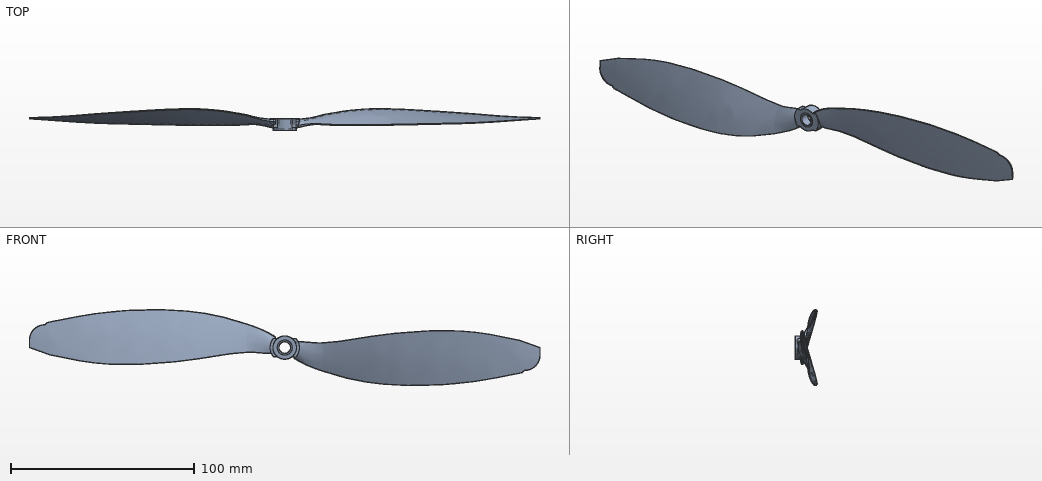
import cadquery as cq
import math


hub_radius = 6.4
hub_back = 0.5
hub_front = -6.05
collar_radius = 8.0
collar_half_height = 5.0
collar_front = -4.4

bore_radius = 4.1
ring_inner_radius = 3.1
ring_recess = 1.0

tip_radius = 139.22
tip_corner_radius = 8.5
tip_corner_bottom = 4.0
tip_outline_top = 15.0

edge_share = 0.3

root_sections = [
    (5.0, (5.6, -0.6), (-3.0, -4.0), 4.4),
    (8.0, (7.5, -0.4), (-3.2, -3.5), 3.8),
    (14.0, (10.4, 0.6), (-2.8, -2.6), 2.6),
    (21.0, (12.9, 2.5), (-2.6, -2.7), 2.0),
]
middle_sections = [
    root_sections[-1],
    (32.0, (16.2, 4.4), (-3.7, -3.0), 2.0),
    (52.0, (19.75, 5.77), (-6.8, -2.95), 2.0),
    (74.0, (20.66, 4.9), (-8.9, -2.5), 1.9),
    (92.0, (19.8, 3.8), (-9.2, -2.15), 1.7),
    (112.0, (17.1, 2.3), (-7.2, -1.35), 1.4),
    (128.0, (14.0, 1.3), (-4.0, -0.25), 1.1),
]
tip_sections = [
    middle_sections[-1],
    (tip_radius, (12.0, 1.0), (0.0, 0.5), 0.7),
]


def blade_section(radius, leading, trailing, thickness):
    """Section across the span: front and back arcs joined by short blunt edges."""
    chord_z = leading[0] - trailing[0]
    chord_y = leading[1] - trailing[1]
    chord = math.hypot(chord_z, chord_y)
    middle = ((leading[0] + trailing[0]) / 2, (leading[1] + trailing[1]) / 2)

    def offset_point(point, distance):
        """Point moved backward, square to the chord."""
        return cq.Vector(
            -radius,
            point[1] + distance * chord_z / chord,
            point[0] - distance * chord_y / chord,
        )

    half_edge = edge_share * thickness / 2
    leading_back = offset_point(leading, half_edge)
    leading_front = offset_point(leading, -half_edge)
    trailing_back = offset_point(trailing, half_edge)
    trailing_front = offset_point(trailing, -half_edge)
    middle_back = offset_point(middle, thickness / 2)
    middle_front = offset_point(middle, -thickness / 2)
    return cq.Wire.assembleEdges(
        [
            cq.Edge.makeThreePointArc(leading_back, middle_back, trailing_back),
            cq.Edge.makeLine(trailing_back, trailing_front),
            cq.Edge.makeThreePointArc(trailing_front, middle_front, leading_front),
            cq.Edge.makeLine(leading_front, leading_back),
        ]
    )


def loft_sections(sections):
    wires = [blade_section(*section) for section in sections]
    return cq.Workplane(cq.Solid.makeLoft(wires))


def make_tip():
    """Tip cut to a round-cornered outline."""
    inner_end = -tip_sections[0][0]
    corner_start = -tip_radius + tip_corner_radius
    outline_depth = 20.0
    outline_bottom = -10.0
    outline = (
        cq.Workplane("XZ")
        .moveTo(inner_end, outline_bottom)
        .lineTo(-tip_radius, outline_bottom)
        .lineTo(-tip_radius, tip_corner_bottom)
        .radiusArc((corner_start, tip_corner_bottom + tip_corner_radius), tip_corner_radius)
        .lineTo(inner_end, tip_outline_top)
        .close()
        .extrude(outline_depth / 2, both=True)
    )
    return loft_sections(tip_sections).intersect(outline)


def make_blade():
    root = loft_sections(root_sections)
    middle = loft_sections(middle_sections)
    return root.union(middle).union(make_tip())


def cylinder(radius, front, back):
    """Cylinder about the Y axis."""
    return cq.Workplane("XZ", origin=(0, back, 0)).circle(radius).extrude(back - front)


def make_hub():
    collar_slab = cq.Workplane().box(
        2 * collar_radius, 2 * (hub_back - hub_front), 2 * collar_half_height
    )
    collar = cylinder(collar_radius, collar_front, hub_back).intersect(collar_slab)
    return cylinder(hub_radius, hub_front, hub_back).union(collar)


def make_propeller():
    blade = make_blade()
    body = make_hub()
    for angle in (0, 180):
        body = body.union(blade.rotate((0, 0, 0), (0, 1, 0), angle))
    return body.cut(cylinder(bore_radius, hub_front, hub_back))


def make_ring():
    ring_front = hub_front + ring_recess
    blank = cylinder(bore_radius, ring_front, hub_back)
    return blank.cut(cylinder(ring_inner_radius, ring_front, hub_back))


propeller = make_propeller()
ring = make_ring()
result = cq.Compound.makeCompound([propeller.val(), ring.val()])